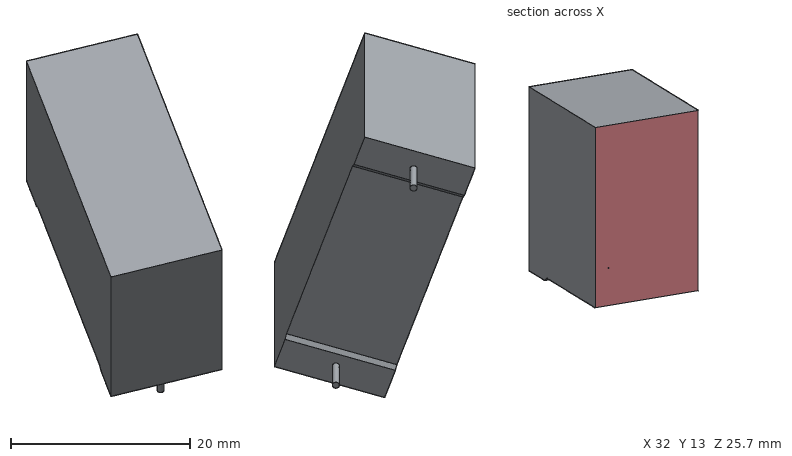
import cadquery as cq

body_length = 32
body_width = 13.0
body_height = 21.7

foot_length = 3.8
foot_slope_length = 0.5
channel_depth = 0.4

pin_diameter = 0.8
pin_length = 4.0
pin_spacing = 27.5


def make_body():
    half_length = body_length / 2
    channel_half_bottom = half_length - foot_length
    channel_half_top = channel_half_bottom - foot_slope_length
    profile = (
        cq.Workplane("XZ")
        .moveTo(-half_length, 0)
        .lineTo(-channel_half_bottom, 0)
        .lineTo(-channel_half_top, channel_depth)
        .lineTo(channel_half_top, channel_depth)
        .lineTo(channel_half_bottom, 0)
        .lineTo(half_length, 0)
        .lineTo(half_length, body_height)
        .lineTo(-half_length, body_height)
        .close()
    )
    return profile.extrude(body_width / 2, both=True)


def make_pins():
    half_spacing = pin_spacing / 2
    return (
        cq.Workplane("XY")
        .pushPoints([(-half_spacing, 0), (half_spacing, 0)])
        .circle(pin_diameter / 2)
        .extrude(-pin_length)
    )


result = make_body().union(make_pins())